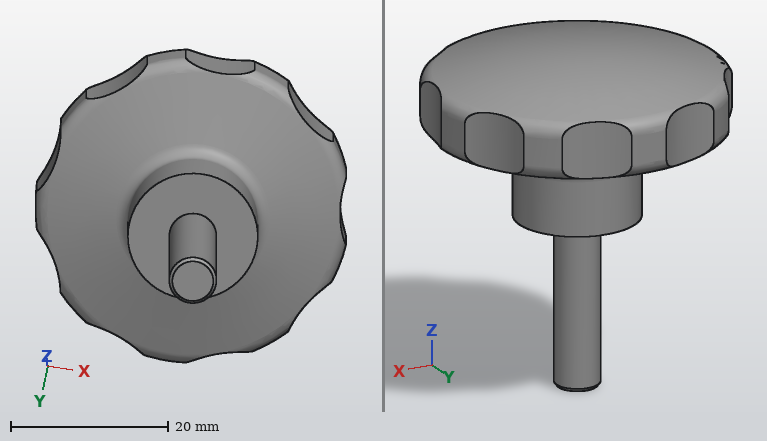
import cadquery as cq
import math


rim_radius = 20.0
head_top = 22.0
dome_radius = 68.0
rim_rounding = 2.0
underside_angle = 15.0
rim_band_bottom = 13.6

hub_radius = 16.5 / 2
hub_fillet = 2.0

stud_radius = 6.0 / 2
stud_length = 23.0
stud_chamfer_height = 0.5
stud_chamfer_width = 0.4

grip_count = 9
grip_half_width = 4.45
grip_floor_radius = 18.7
first_grip_angle = -90.0


def on_arc(center, radius, angle):
    """Point on a circle in the (radius, Z) half plane; angle in degrees from outward."""
    turn = math.radians(angle)
    return (center[0] + radius * math.cos(turn), center[1] + radius * math.sin(turn))


def make_head():
    """Revolve the hub and head, with tangent roundings at the rim and the hub."""
    dome_center_z = head_top - dome_radius
    rounding_center_radius = rim_radius - rim_rounding
    center_gap = dome_radius - rim_rounding
    rim_band_top = dome_center_z + math.sqrt(center_gap**2 - rounding_center_radius**2)
    upper_center = (rounding_center_radius, rim_band_top)
    lower_center = (rounding_center_radius, rim_band_bottom)
    dome_edge_angle = math.degrees(math.acos(rounding_center_radius / center_gap))
    dome_center = (0, dome_center_z)

    underside_normal = underside_angle - 90
    underside_outer = on_arc(lower_center, rim_rounding, underside_normal)

    fillet_center_radius = hub_radius + hub_fillet
    slope = math.tan(math.radians(underside_angle))
    underside_z = underside_outer[1] - slope * (underside_outer[0] - fillet_center_radius)
    fillet_center_z = underside_z - hub_fillet / math.cos(math.radians(underside_angle))
    fillet_center = (fillet_center_radius, fillet_center_z)
    fillet_end_angle = underside_normal + 180
    fillet_mid_angle = (180 + fillet_end_angle) / 2

    profile = (
        cq.Workplane("XZ")
        .lineTo(hub_radius, 0)
        .lineTo(hub_radius, fillet_center_z)
        .threePointArc(
            on_arc(fillet_center, hub_fillet, fillet_mid_angle),
            on_arc(fillet_center, hub_fillet, fillet_end_angle),
        )
        .lineTo(*underside_outer)
        .threePointArc(
            on_arc(lower_center, rim_rounding, underside_normal / 2),
            (rim_radius, rim_band_bottom),
        )
        .lineTo(rim_radius, rim_band_top)
        .threePointArc(
            on_arc(upper_center, rim_rounding, dome_edge_angle / 2),
            on_arc(upper_center, rim_rounding, dome_edge_angle),
        )
        .threePointArc(
            on_arc(dome_center, dome_radius, (dome_edge_angle + 90) / 2),
            (0, head_top),
        )
        .close()
    )
    return profile.revolve(360, (0, 0, 0), (0, 1, 0))


def cut_grips(head):
    """Cut the concave finger grips, equally spaced around the rim."""
    opening_radius = math.sqrt(rim_radius**2 - grip_half_width**2)
    grip_depth = opening_radius - grip_floor_radius
    grip_radius = (grip_half_width**2 + grip_depth**2) / (2 * grip_depth)
    cutter_offset = grip_floor_radius + grip_radius
    for index in range(grip_count):
        angle = math.radians(first_grip_angle + index * 360 / grip_count)
        cutter = (
            cq.Workplane("XY")
            .center(cutter_offset * math.cos(angle), cutter_offset * math.sin(angle))
            .circle(grip_radius)
            .extrude(head_top)
        )
        head = head.cut(cutter)
    return head


def make_stud():
    """Revolve the stud with its chamfered tip; it starts at the hub's lower face."""
    profile = (
        cq.Workplane("XZ")
        .lineTo(stud_radius, 0)
        .lineTo(stud_radius, stud_chamfer_height - stud_length)
        .lineTo(stud_radius - stud_chamfer_width, -stud_length)
        .lineTo(0, -stud_length)
        .close()
    )
    return profile.revolve(360, (0, 0, 0), (0, 1, 0))


result = cut_grips(make_head()).union(make_stud())